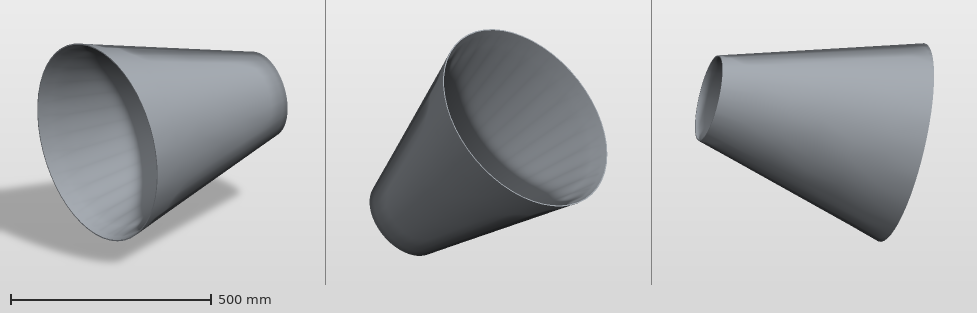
import cadquery as cq

large_diameter = 508.0
small_diameter = 219.1
length = 508.0
wall = 3.0


def cone(large_radius, small_radius):
    """Solid truncated cone along +Y, starting with its large end at Y = 0."""
    profile = [(0, 0), (large_radius, 0), (small_radius, length), (0, length)]
    return cq.Workplane("XY").polyline(profile).close().revolve(360, (0, 0, 0), (0, 1, 0))


outer_cone = cone(large_diameter / 2, small_diameter / 2)
inner_cone = cone(large_diameter / 2 - wall, small_diameter / 2 - wall)

result = outer_cone.cut(inner_cone)